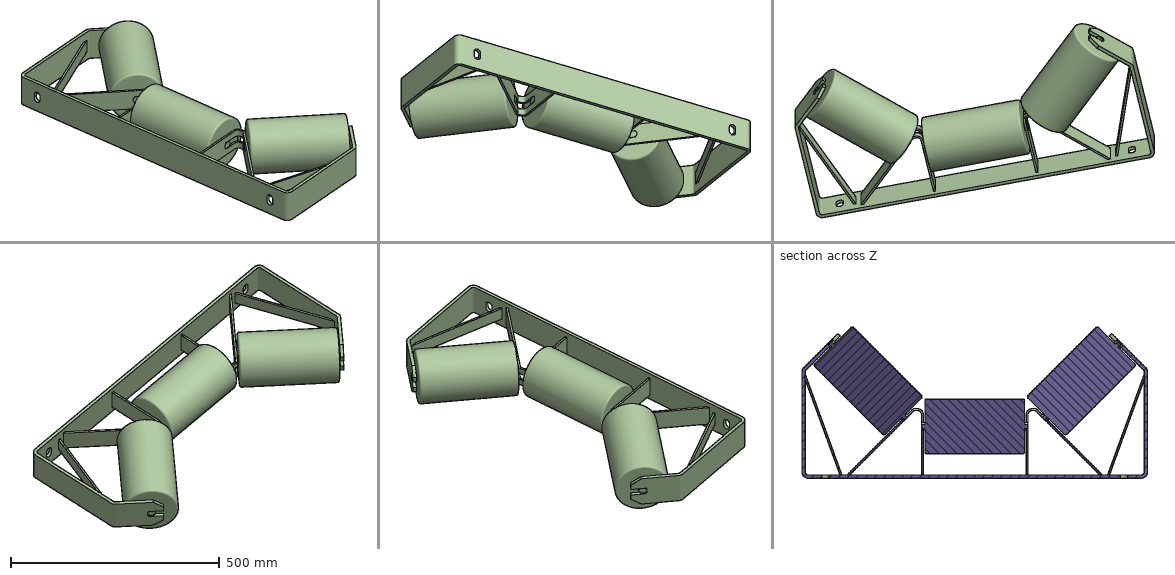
import cadquery as cq
import math


frame_width = 830.0
frame_bar = 8.0
frame_height = 80.0
frame_bend_radius = 15.0
leg_height = 261.5
arm_length = 122.0
arm_tip_clip = (25.0, 17.5)
mount_slot_width = 17.5
mount_slot_height = 28.0
mount_slot_x = 358.5

trough_angle = 45.0
roller_length = 240.0
roller_radius = 66.0
roller_edge_radius = 5.0
shaft_diameter = 20.0
journal_flats = 17.5
roller_gap = 3.0
center_roller_y = 124.5
wing_axis_offset = -16.0

bracket_thickness = 5.0
bracket_height = 51.5
bracket_top_y = 168.0
bracket_top_width = 24.0
bracket_bend_radius = 15.0

brace_thickness = 5.0
brace_height = 33.0
brace_angle = 20.0
brace_foot_x = 319.0

sides = (-1, 1)
cutter_depth_ratio = 3

cos_trough = math.cos(math.radians(trough_angle))
sin_trough = math.sin(math.radians(trough_angle))
half_bend = math.tan(math.radians(trough_angle / 2))
frame_left = -frame_width / 2
leg_inner_x = frame_left + frame_bar
bracket_face_x = -(roller_length / 2 + roller_gap)
bracket_ridge_x = bracket_face_x - bracket_top_width


def along_axis(x, y):
    """Distance of a point from the origin along the left wing roller axis (towards +X, -Y)."""
    return x * cos_trough - y * sin_trough


arm_outer = along_axis(frame_left, leg_height)
arm_inner = arm_outer + frame_bar
incline_face = along_axis(bracket_ridge_x, bracket_top_y)
wing_center = (arm_inner + incline_face) / 2


def wing_place(body):
    """Turn a body lying along X onto the left wing roller axis."""
    shift_x = wing_center * cos_trough + wing_axis_offset * sin_trough
    shift_y = -wing_center * sin_trough + wing_axis_offset * cos_trough
    return body.rotate((0, 0, 0), (0, 0, 1), -trough_angle).translate((shift_x, shift_y, 0))


def on_side(body, side):
    """Keep a body built on the -X side, or mirror it to the +X side."""
    return body.mirror("YZ") if side > 0 else body


def strip(points, height):
    """Extrude an XY outline symmetrically about Z = 0."""
    return cq.Workplane("XY", origin=(0, 0, -height / 2)).polyline(points).close().extrude(height)


def round_bend(body, outer, inner, outer_radius, thickness):
    """Round a sharp bend with concentric radii on its outer and inner corner."""
    for corner, radius in ((outer, outer_radius), (inner, outer_radius - thickness)):
        nearest = cq.selectors.NearestToPointSelector((*corner, 0))
        body = body.edges("|Z").edges(nearest).fillet(radius)
    return body


def journal(length):
    """Shaft bar along X, centred on the origin, with flats facing +Z and -Z."""
    flats = cq.Workplane("XY").box(length, shaft_diameter, journal_flats)
    return cq.Workplane("YZ").cylinder(length, shaft_diameter / 2).intersect(flats)


def journal_slot(length, depth):
    """Slot cutter along Y: its closed end fits a journal on the X axis, and it is open towards +Y."""
    run = cq.Workplane("XY").box(depth, length, journal_flats, centered=(True, False, True))
    return journal(depth).union(run)


def make_frame():
    """Base bar, two upright legs and two sloping arms, bent as one bar, with slotted arm tips."""
    tip_x = frame_left + arm_length * sin_trough
    tip_y = leg_height + arm_length * cos_trough
    inner_leg_y = leg_height - frame_bar * half_bend
    outer_half = [(frame_left, 0), (frame_left, leg_height), (tip_x, tip_y)]
    inner_half = [
        (tip_x + frame_bar * cos_trough, tip_y - frame_bar * sin_trough),
        (leg_inner_x, inner_leg_y),
        (leg_inner_x, frame_bar),
    ]
    left_half = outer_half + inner_half
    right_half = [(-x, y) for x, y in reversed(left_half)]
    frame = strip(left_half + right_half, frame_height)

    for side in sides:
        base_corner = (side * frame_width / 2, 0)
        base_corner_inner = (side * abs(leg_inner_x), frame_bar)
        frame = round_bend(frame, base_corner, base_corner_inner, frame_bend_radius, frame_bar)
        arm_corner = (side * frame_width / 2, leg_height)
        arm_corner_inner = (side * abs(leg_inner_x), inner_leg_y)
        frame = round_bend(frame, arm_corner, arm_corner_inner, frame_bend_radius, frame_bar)

    tip_position = tip_x * sin_trough + tip_y * cos_trough - wing_axis_offset
    arm_position = (arm_outer + arm_inner) / 2 - wing_center
    clip_along, clip_across = arm_tip_clip
    cut_depth = cutter_depth_ratio * frame_bar
    slot = journal_slot(2 * tip_position, cut_depth).translate((arm_position, 0, 0))
    corner_clip = (
        cq.Workplane("YZ")
        .polyline([
            (tip_position, frame_height / 2),
            (tip_position - clip_along, frame_height / 2),
            (tip_position, frame_height / 2 - clip_across),
        ])
        .close()
        .extrude(cut_depth / 2, both=True)
        .translate((arm_position, 0, 0))
    )
    arm_cuts = [wing_place(cut) for cut in (slot, corner_clip, corner_clip.mirror("XY"))]
    for side in sides:
        for cut in arm_cuts:
            frame = frame.cut(on_side(cut, side))

    mount_slots = (
        cq.Workplane("XZ")
        .pushPoints([(-mount_slot_x, 0), (mount_slot_x, 0)])
        .slot2D(mount_slot_height, mount_slot_width, 90)
        .extrude(-frame_bar)
    )
    return frame.cut(mount_slots)


def make_bracket():
    """Left bracket: a sloping leg, a flat ridge and an upright leg, slotted for two journals."""
    incline_drop = bracket_top_y - frame_bar
    inner_y = bracket_top_y - bracket_thickness
    inner_ridge_x = bracket_ridge_x + bracket_thickness * half_bend
    inner_face_x = bracket_face_x - bracket_thickness
    slope_run = math.tan(math.radians(trough_angle))
    bracket = strip([
        (bracket_face_x, frame_bar),
        (bracket_face_x, bracket_top_y),
        (bracket_ridge_x, bracket_top_y),
        (bracket_ridge_x - incline_drop * slope_run, frame_bar),
        (inner_ridge_x - (inner_y - frame_bar) * slope_run, frame_bar),
        (inner_ridge_x, inner_y),
        (inner_face_x, inner_y),
        (inner_face_x, frame_bar),
    ], bracket_height)
    bracket = round_bend(
        bracket,
        (bracket_face_x, bracket_top_y),
        (inner_face_x, inner_y),
        bracket_bend_radius,
        bracket_thickness,
    )

    cut_depth = cutter_depth_ratio * bracket_thickness
    upright_slot = journal_slot(bracket_top_y, cut_depth)
    upright_slot = upright_slot.translate((bracket_face_x, center_roller_y, 0))
    incline_slot = journal_slot(bracket_top_y, cut_depth).translate((incline_face - wing_center, 0, 0))
    ridge_slot = cq.Workplane("XY").box(bracket_top_width, cut_depth, journal_flats)
    ridge_slot = ridge_slot.translate(((bracket_face_x + bracket_ridge_x) / 2, bracket_top_y, 0))
    return bracket.cut(upright_slot).cut(wing_place(incline_slot)).cut(ridge_slot)


def make_brace():
    """Left brace: a slanted strip mitred against the frame leg and the base bar."""
    slope = math.tan(math.radians(brace_angle))
    foot_width = brace_thickness / math.cos(math.radians(brace_angle))
    foot_inner = -brace_foot_x
    foot_outer = foot_inner - foot_width
    return strip([
        (foot_inner, frame_bar),
        (leg_inner_x, frame_bar + (foot_inner - leg_inner_x) / slope),
        (leg_inner_x, frame_bar + (foot_outer - leg_inner_x) / slope),
        (foot_outer, frame_bar),
    ], brace_height)


def make_roller(plate_gap, journal_length):
    """Roller along X, centred on the origin, with a flatted journal at each shaft end."""
    shaft_half = roller_length / 2 + plate_gap
    shell = cq.Workplane("YZ").cylinder(roller_length, roller_radius)
    shell = shell.edges("%CIRCLE").fillet(roller_edge_radius)
    shaft = cq.Workplane("YZ").cylinder(2 * shaft_half, shaft_diameter / 2)
    journals = journal(2 * (shaft_half + journal_length))
    return shell.union(shaft).union(journals)


frame = make_frame()
center_roller = make_roller(roller_gap, bracket_thickness).translate((0, center_roller_y, 0))

wing_gap = (incline_face - arm_inner - roller_length) / 2
wing_roller = wing_place(make_roller(wing_gap, bracket_thickness))

wing_rollers = [on_side(wing_roller, side) for side in sides]
brackets = [on_side(make_bracket(), side) for side in sides]
braces = [on_side(make_brace(), side) for side in sides]

bodies = [frame, center_roller, *wing_rollers, *brackets, *braces]
result = cq.Compound.makeCompound([body.solids().val() for body in bodies])